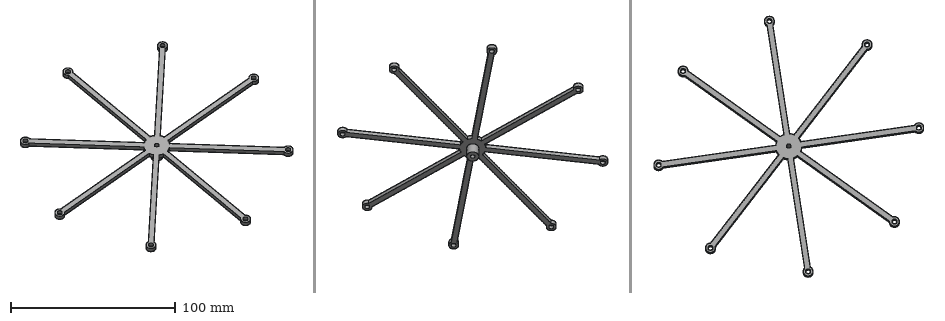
import cadquery as cq

span = 166.0
arm_count = 8
plate_thickness = 3.0

arm_width = 3.5
eye_diameter = 6.0
eye_hole_diameter = 3.0
eye_radius_from_center = (span - eye_diameter) / 2

hub_diameter = 16.0
boss_diameter = 7.5
boss_length = 7.5
center_hole_diameter = 2.7


def make_hub():
    """Flat central disc with its underside at Z = 0."""
    return cq.Workplane("XY").circle(hub_diameter / 2).extrude(plate_thickness)


def make_boss():
    """Round boss hanging below the hub."""
    return cq.Workplane("XY").circle(boss_diameter / 2).extrude(-boss_length)


def make_arm(angle):
    """Straight arm from the center to an eye, turned about Z."""
    bar = (
        cq.Workplane("XY")
        .center(eye_radius_from_center / 2, 0)
        .rect(eye_radius_from_center, arm_width)
        .extrude(plate_thickness)
    )
    eye = (
        cq.Workplane("XY")
        .center(eye_radius_from_center, 0)
        .circle(eye_diameter / 2)
        .extrude(plate_thickness)
    )
    return bar.union(eye).rotate((0, 0, 0), (0, 0, 1), angle)


result = make_hub().union(make_boss())
for index in range(arm_count):
    result = result.union(make_arm(index * 360 / arm_count))

result = (
    result.faces(">Z")
    .workplane(origin=(0, 0, plate_thickness))
    .polarArray(eye_radius_from_center, 0, 360, arm_count)
    .hole(eye_hole_diameter)
)

result = (
    result.faces(">Z")
    .workplane(origin=(0, 0, plate_thickness))
    .hole(center_hole_diameter)
)